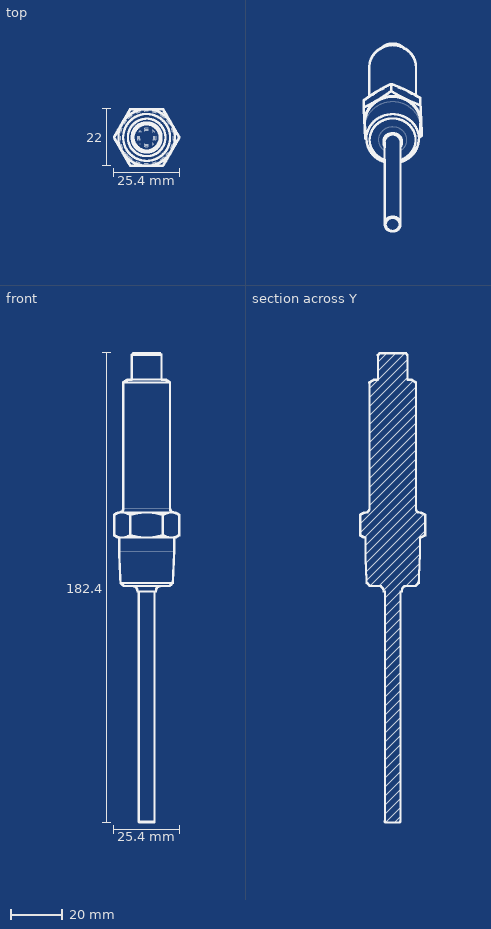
import cadquery as cq
import math

total_height = 182.4
cap_base_z = 172.2
hex_top_z = 120.5
hex_base_z = 110.7
thread_start_z = 105.5
thread_end_z = 92.0
collar_base_z = 89.7

cap_radius = 5.8
body_radius = 9.1
thread_radius = 10.8
thread_end_radius = 10.2
collar_radius = 3.6
probe_radius = 3.1

cap_chamfer = 0.7
shoulder_width = 1.8
shoulder_height = 1.1
thread_chamfer = 1.3
tip_chamfer = 0.4
body_fillet = 1.5
collar_fillet = 1.8

hex_across_flats = 22.0
hex_turned_diameter = 25.4
hex_chamfer_angle = math.radians(30)


def turned_body():
    """Revolve the stepped half profile, from the probe tip up to the cap."""
    profile = (
        cq.Workplane("XZ")
        .lineTo(probe_radius - tip_chamfer, 0)
        .lineTo(probe_radius, tip_chamfer)
        .lineTo(probe_radius, collar_base_z)
        .lineTo(collar_radius, collar_base_z)
        .lineTo(collar_radius, thread_end_z - collar_fillet)
        .radiusArc((collar_radius + collar_fillet, thread_end_z), collar_fillet)
        .lineTo(thread_end_radius - thread_chamfer, thread_end_z)
        .lineTo(thread_end_radius, thread_end_z + thread_chamfer)
        .lineTo(thread_radius, thread_start_z)
        .lineTo(thread_radius, hex_top_z)
        .lineTo(body_radius + body_fillet, hex_top_z)
        .radiusArc((body_radius, hex_top_z + body_fillet), body_fillet)
        .lineTo(body_radius, cap_base_z - shoulder_height)
        .lineTo(body_radius - shoulder_width, cap_base_z)
        .lineTo(cap_radius, cap_base_z)
        .lineTo(cap_radius, total_height - cap_chamfer)
        .lineTo(cap_radius - cap_chamfer, total_height)
        .lineTo(0, total_height)
        .close()
    )
    return profile.revolve(360, (0, 0), (0, 1))


def hexagon():
    """Hexagon with corners on the X axis, turned to a round diameter, bevelled at both ends."""
    corner_radius = hex_turned_diameter / 2
    flat_radius = hex_across_flats / 2
    bevel_height = (corner_radius - flat_radius) * math.tan(hex_chamfer_angle)
    prism = (
        cq.Workplane("XY", origin=(0, 0, hex_base_z))
        .polygon(6, hex_across_flats / math.cos(math.pi / 6))
        .extrude(hex_top_z - hex_base_z)
    )
    bevel_envelope = (
        cq.Workplane("XZ")
        .moveTo(0, hex_base_z)
        .lineTo(flat_radius, hex_base_z)
        .lineTo(corner_radius, hex_base_z + bevel_height)
        .lineTo(corner_radius, hex_top_z - bevel_height)
        .lineTo(flat_radius, hex_top_z)
        .lineTo(0, hex_top_z)
        .close()
        .revolve(360, (0, 0), (0, 1))
    )
    return prism.intersect(bevel_envelope)


result = turned_body().union(hexagon())